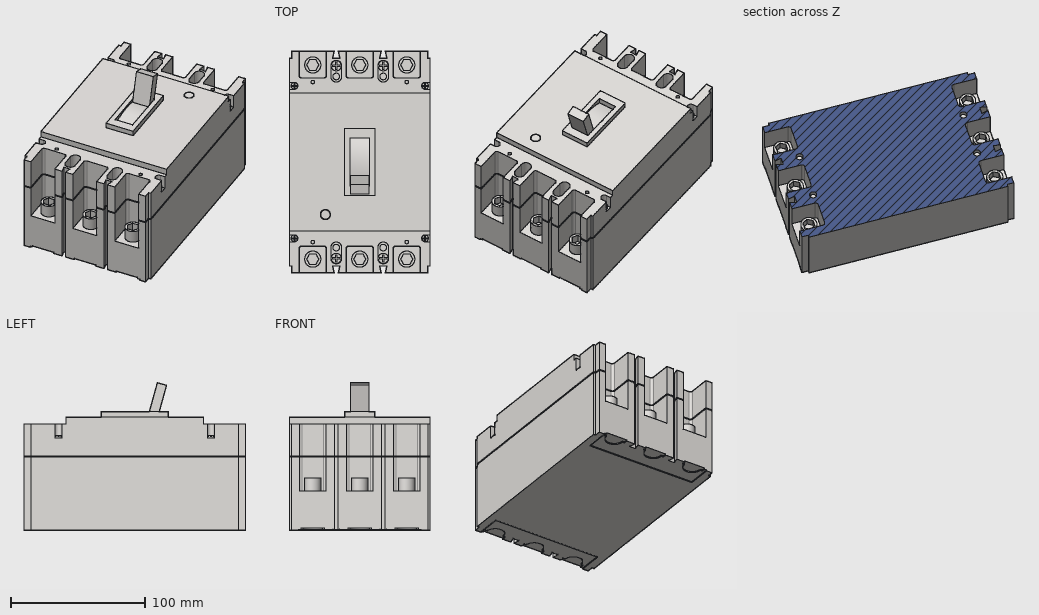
import cadquery as cq
import math

WIDTH = 105.0
LENGTH = 165.0
LEDGE_Z = 79.4
LID_Z = 84.3
LID_LENGTH = 102.5
POLE_PITCH = 35.0
POLE_XS = [-POLE_PITCH, 0, POLE_PITCH]
BARRIER_XS = [-POLE_PITCH / 2, POLE_PITCH / 2]
ENDS = [-1, 1]
SIDES = [-1, 1]

NOTCH_DEPTH = 5.1
NOTCH_WIDTH = 1.8
DOVETAIL_MOUTH = 2.8
DOVETAIL_BACK = 5.1

SEAM_Z = 55.1
SEAM_HEIGHT = 0.5
SEAM_DEPTH = 0.3

POCKET_WIDTH = 20.0
POCKET_LENGTH = 19.8
POCKET_FLOOR_Z = 29.4
POCKET_RADIUS = 1.8
STUD_INSET = 10.2
STUD_DIAMETER = 12.0
STUD_HEIGHT = 9.7
HEX_FLATS = 8.0
HEX_DEPTH = 6.6

WELL_WIDTH = 8.1
WELL_LENGTH = 16.2
WELL_INSET = 6.8
WELL_DEPTH = 26.4
WELL_SCREW_DIAMETER = 7.6
WELL_SCREW_HEIGHT = 2.5
WELL_HOLE_DIAMETER = 5.0
WELL_HOLE_INSET = 18.8
WELL_HOLE_DEPTH = 6.6

SIDE_SLOT_WIDTH = 5.3
SIDE_SLOT_LENGTH = 6.5
SIDE_SLOT_INSET = 25.7
SIDE_SLOT_DEPTH = 10.5
SIDE_SCREW_DIAMETER = 5.0
SIDE_SCREW_HEIGHT = 1.8

PIN_DIAMETER = 2.6
PIN_INSET = 23.0
PIN_DEPTH = 5.0

CROSS_SPAN = 0.7
CROSS_BAR = 0.14
CROSS_DEPTH = 0.8

BUTTON_X = -25.5
BUTTON_Y = -39.1
BUTTON_DIAMETER = 7.6
BUTTON_GAP = 0.3
BUTTON_GROOVE_DEPTH = 1.6

COLLAR_WIDTH = 22.5
COLLAR_LENGTH = 50.0
COLLAR_Z = 88.5
WINDOW_WIDTH = 14.5
WINDOW_LENGTH = 35.8
WINDOW_FLOOR_Z = 77.5
DRUM_RADIUS = 51.2
DRUM_TOP_Z = 87.1
LEVER_TOP_Z = 110.0
LEVER_WIDTH = 14.0
LEVER_TILT = 15.5
LEVER_THICKNESS = 7.3

FOOT_RELIEF_WIDTH = 91.4
FOOT_RELIEF_LENGTH = 19.8
FOOT_RELIEF_HEIGHT = 0.8
ARCH_WIDTH = 17.8
ARCH_LENGTH = 3.3
ARCH_BORE_DIAMETER = 14.2
ARCH_TOP_Z = 1.8


def block(size_x, size_y, z_low, z_high, x=0.0, y=0.0):
    """Box centred on (x, y) between two heights."""
    box = cq.Workplane("XY").box(size_x, size_y, z_high - z_low, centered=(True, True, False))
    return box.translate((x, y, z_low))


def disc(diameter, z_low, z_high, x, y):
    """Upright cylinder centred on (x, y) between two heights."""
    return cq.Workplane("XY", origin=(x, y, z_low)).circle(diameter / 2).extrude(z_high - z_low)


def from_end(end, inset):
    """Y position at a distance inside the chosen end face."""
    return end * (LENGTH / 2 - inset)


def dovetail_slot(x, end, gap, z_high):
    """Dovetail cutter, widened on every flank by gap."""
    mouth = DOVETAIL_MOUTH / 2 + gap
    back = DOVETAIL_BACK / 2 + gap
    y_mouth = from_end(end, 0)
    y_back = from_end(end, NOTCH_DEPTH + gap)
    outline = [(x - mouth, y_mouth), (x + mouth, y_mouth), (x + back, y_back), (x - back, y_back)]
    return cq.Workplane("XY").polyline(outline).close().extrude(z_high)


def terminal_pocket(x, end, gap):
    """Pocket cutter open at the end face and the top, widened by gap."""
    cutter = block(POCKET_WIDTH + 2 * gap, 2 * (POCKET_LENGTH + gap), POCKET_FLOOR_Z, LEDGE_Z,
                   x, from_end(end, 0))
    return cutter.edges("|Z").fillet(POCKET_RADIUS + gap)


def housing(gap, z_high):
    """Body with notches, dovetails and pockets, every wall set back by gap."""
    body = block(WIDTH - 2 * gap, LENGTH - 2 * gap, 0, z_high)
    for end in ENDS:
        for side in SIDES:
            body = body.cut(block(2 * (NOTCH_WIDTH + gap), 2 * (NOTCH_DEPTH + gap), 0, z_high,
                                  side * WIDTH / 2, from_end(end, 0)))
        for x in BARRIER_XS:
            body = body.cut(dovetail_slot(x, end, gap, z_high))
        for x in POLE_XS:
            body = body.cut(terminal_pocket(x, end, gap))
    return body


def seam_groove():
    """Thin band around all walls where the cover meets the base."""
    band = block(WIDTH, LENGTH, SEAM_Z - SEAM_HEIGHT / 2, SEAM_Z + SEAM_HEIGHT / 2)
    return band.cut(housing(SEAM_DEPTH, LEDGE_Z))


def terminal_stud(x, end):
    """Round stud with a hexagon socket, standing on the pocket floor."""
    y = from_end(end, STUD_INSET)
    top_z = POCKET_FLOOR_Z + STUD_HEIGHT
    stud = disc(STUD_DIAMETER, POCKET_FLOOR_Z, top_z, x, y)
    hex_corners = HEX_FLATS / math.cos(math.radians(30))
    socket = cq.Workplane("XY", origin=(x, y, top_z)).polygon(6, hex_corners).extrude(-HEX_DEPTH)
    return stud.cut(socket)


def screw_head(diameter, height, x, y, z):
    """Cylindrical screw head with a cross recess."""
    top_z = z + height
    span = CROSS_SPAN * diameter
    bar = CROSS_BAR * diameter
    head = disc(diameter, z, top_z, x, y)
    head = head.cut(block(span, bar, top_z - CROSS_DEPTH, top_z, x, y))
    return head.cut(block(bar, span, top_z - CROSS_DEPTH, top_z, x, y))


def add_barrier_well(body, x, end):
    """Oblong well holding a mounting screw, with a small hole in its floor."""
    floor_z = LEDGE_Z - WELL_DEPTH
    y_well = from_end(end, WELL_INSET + WELL_LENGTH / 2)
    y_screw = from_end(end, WELL_INSET + WELL_WIDTH / 2)
    well = cq.Workplane("XY", origin=(x, y_well, floor_z)).slot2D(WELL_LENGTH, WELL_WIDTH, 90)
    body = body.cut(well.extrude(WELL_DEPTH))
    body = body.cut(disc(WELL_HOLE_DIAMETER, floor_z - WELL_HOLE_DEPTH, floor_z,
                         x, from_end(end, WELL_HOLE_INSET)))
    return body.union(screw_head(WELL_SCREW_DIAMETER, WELL_SCREW_HEIGHT, x, y_screw, floor_z))


def add_side_screw(body, side, end):
    """Cover screw in a round-ended slot open to the side wall."""
    floor_z = LEDGE_Z - SIDE_SLOT_DEPTH
    y = from_end(end, SIDE_SLOT_INSET)
    slot = cq.Workplane("XY", origin=(side * WIDTH / 2, y, floor_z))
    body = body.cut(slot.slot2D(2 * SIDE_SLOT_LENGTH, SIDE_SLOT_WIDTH).extrude(SIDE_SLOT_DEPTH))
    x_screw = side * (WIDTH / 2 - SIDE_SLOT_LENGTH + SIDE_SLOT_WIDTH / 2)
    return body.union(screw_head(SIDE_SCREW_DIAMETER, SIDE_SCREW_HEIGHT, x_screw, y, floor_z))


def foot_relief(end):
    """Shallow step under one end, with a bored arch below each pole."""
    y_end = from_end(end, 0)
    relief = block(FOOT_RELIEF_WIDTH, 2 * FOOT_RELIEF_LENGTH, 0, FOOT_RELIEF_HEIGHT, 0, y_end)
    for x in POLE_XS:
        relief = relief.union(block(ARCH_WIDTH, 2 * ARCH_LENGTH, 0, ARCH_TOP_Z, x, y_end))
        relief = relief.union(disc(ARCH_BORE_DIAMETER, 0, ARCH_TOP_Z, x, from_end(end, ARCH_LENGTH)))
    return relief


def button_groove():
    """Ring groove that outlines the test button."""
    floor_z = LID_Z - BUTTON_GROOVE_DEPTH
    ring = disc(BUTTON_DIAMETER, floor_z, LID_Z, BUTTON_X, BUTTON_Y)
    core_diameter = BUTTON_DIAMETER - 2 * BUTTON_GAP
    return ring.cut(disc(core_diameter, floor_z, LID_Z, BUTTON_X, BUTTON_Y))


def toggle():
    """Drum seen through the collar window, with a lever tilted toward -Y."""
    axis_z = DRUM_TOP_Z - DRUM_RADIUS
    drum = cq.Workplane("YZ", origin=(-WINDOW_WIDTH / 2, 0, axis_z)).circle(DRUM_RADIUS)
    drum = drum.extrude(WINDOW_WIDTH)
    drum = drum.intersect(block(WINDOW_WIDTH, WINDOW_LENGTH, WINDOW_FLOOR_Z, COLLAR_Z))

    tilt = math.radians(LEVER_TILT)
    half = LEVER_THICKNESS / 2
    reach = (LEVER_TOP_Z - axis_z - half * math.sin(tilt)) / math.cos(tilt)
    root = DRUM_RADIUS - LEVER_THICKNESS
    lever = block(LEVER_WIDTH, LEVER_THICKNESS, root, reach)
    lever = lever.rotate((0, 0, 0), (1, 0, 0), LEVER_TILT).translate((0, 0, axis_z))
    return drum.union(lever)


result = housing(0, LEDGE_Z).cut(seam_groove())
result = result.union(block(WIDTH, LID_LENGTH, LEDGE_Z, LID_Z))
result = result.union(block(COLLAR_WIDTH, COLLAR_LENGTH, LID_Z, COLLAR_Z))

for end in ENDS:
    result = result.cut(foot_relief(end))
    for x in POLE_XS:
        result = result.union(terminal_stud(x, end))
    for x in BARRIER_XS:
        result = add_barrier_well(result, x, end)
    for side in SIDES:
        result = add_side_screw(result, side, end)
        result = result.cut(disc(PIN_DIAMETER, LEDGE_Z - PIN_DEPTH, LEDGE_Z,
                                 side * POLE_PITCH, from_end(end, PIN_INSET)))

result = result.cut(button_groove())
result = result.cut(block(WINDOW_WIDTH, WINDOW_LENGTH, WINDOW_FLOOR_Z, COLLAR_Z))
result = result.union(toggle())